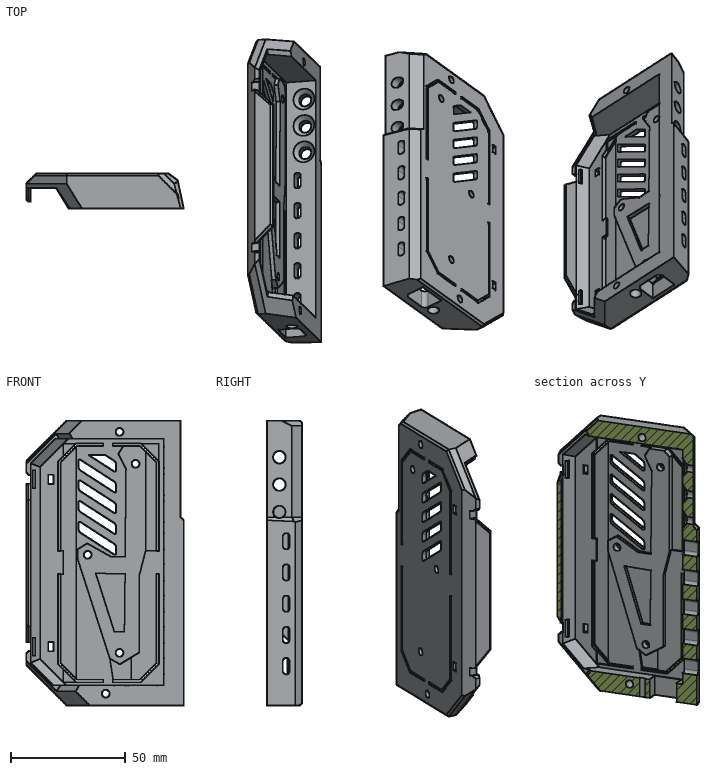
import cadquery as cq
import math

length = 125.0
depth = 15.5
front_width = 69.17
mid_z = length / 2
margin = 10.0

corner_cut = 17.8
waist_y = 11.0
left_bevel = depth - waist_y
top_corner_lean = 6.7
bottom_corner_lean = 10.1
back_bevel_y = 1.0
back_bevel_z = 0.9
flank_x, flank_y = 66.5, 12.45
back_right_x = 62.35

step_z = 82.6
step_front_x = 67.77
step_knee_x, step_knee_y = 64.9, 11.0
step_draft = 45.0
top_corner_reach = 3.4

pocket_right = 60.45
pocket_bottom = 8.8
pocket_top = 117.0
floor_y = 13.5
rim_y = 9.0
slope_y = 9.4
rim_thickness = 2.0
floor_left = 6.1
rim_corner_sum = 20.8
floor_corner_sum = 26.5

side_top = 119.1
side_bottom = 6.2
upper_end_front = (19.2, 20.3)
upper_end_rim = (13.3, 14.5)
lower_end_front = (21.8, 23.2)
lower_end_rim = (13.3, 15.0)

lip_y = 3.0
lip_half_long = 35.4
lip_half_short = 27.7
lip_bevel = 1.0

notch_offset = 36.7
notch_width = 3.7
block_width = 7.9
block_x, block_y = 4.0, 10.2
block_back_y = 12.5
notch_bevel = 1.1
window_x0, window_x1 = 9.8, 11.9
window_height = 3.9

recess_y = 14.5
recess_left = 16.3
panel_left, panel_right = 14.0, 58.2
panel_bottom, panel_top = 10.3, 114.9
panel_corner = 7.9
slot_width = 1.0
end_tab_x0, end_tab_x1 = 33.8, 38.0
side_tab_z0, side_tab_z1 = 57.65, 67.85

deck_left = 22.0
deck_right = 52.4
plate_y = 11.7
groove_right = 46.0
groove_top = 21.0
groove_bottom = (38.3, panel_bottom)

plate_left_side = [
    (43.3, panel_top), (40.4, 110.4), (43.8, 103.8), (43.4, 65.2), (37.3, 65.2),
    (26.8, 71.1), (22.7, 68.6), (22.7, 63.9),
]
plate_lower_left = (36.7, 20.6)
plate_tip = (41.1, 18.1)
plate_right_side = [(49.5, 23.2), (49.5, 56.6)]
plate_opening = [(30.5, 58.0), (43.4, 57.7), (43.1, 32.3), (38.7, 32.3)]

grille_left, grille_right = 23.0, 39.4
grille_top = 109.8
grille_count = 5
grille_pitch = 9.1
grille_first_z = 117.35
grille_opening = 4.6
grille_slope = 0.645
grille_drop = grille_slope * (grille_right - grille_left)
grille_round_large, grille_round_small = 2.0, 0.5

screw_diameter = 3.3
screw_places = [(40.95, 120.0), (48.0, 106.0), (27.0, 66.1), (40.95, 23.1), (34.9, 5.2)]
jack_diameter = 5.4
jack_sink_diameter = 9.5
jack_y = 5.5
jack_first_z = 84.9
jack_pitch = 12.0
jack_count = 3
vent_y = 8.5
vent_width = 3.0
vent_length = 7.1
vent_first_z = 17.25
vent_pitch = 13.7
vent_count = 5
cable_diameter = 5.0
cable_x, cable_y = 41.2, 5.6
port_x0, port_x1 = 44.7, 57.6
port_front, port_back = 3.2, 12.9
port_round = 2.0


def prism_y(points, y0, y1):
    """Prism of an X-Z outline between two Y levels."""
    return cq.Workplane("XZ", origin=(0, y0, 0)).polyline(points).close().extrude(y0 - y1)


def loft_y(points0, y0, points1, y1):
    """Ruled solid between two X-Z outlines at two Y levels."""
    wires = [
        cq.Wire.makePolygon([cq.Vector(x, y, z) for x, z in points], close=True)
        for points, y in ((points0, y0), (points1, y1))
    ]
    return cq.Workplane(cq.Solid.makeLoft(wires, True))


def block(x0, x1, y0, y1, z0, z1):
    return cq.Workplane("XY").box(x1 - x0, y1 - y0, z1 - z0, centered=False).translate((x0, y0, z0))


def body_outline(top_cut, bottom_cut, inset_z=0.0):
    """X-Z outline of the shell with its two left corners cut at 45 degrees."""
    right = front_width + margin
    low, high = inset_z, length - inset_z
    return [
        (0, bottom_cut),
        (bottom_cut - low, low),
        (right, low),
        (right, high),
        (top_cut - inset_z, high),
        (0, length - top_cut),
    ]


def octagon(inset):
    """Outline of the floor panel, moved inwards by the inset."""
    x0, x1 = panel_left + inset, panel_right - inset
    z0, z1 = panel_bottom + inset, panel_top - inset
    cut = panel_corner - inset * (2 - math.sqrt(2))
    return [
        (x0 + cut, z0), (x1 - cut, z0), (x1, z0 + cut), (x1, z1 - cut),
        (x1 - cut, z1), (x0 + cut, z1), (x0, z1 - cut), (x0, z0 + cut),
    ]


def side_profile():
    """Prism along Z that gives the left bevel and the sloping right side."""
    points = [
        (0, 0), (front_width, 0), (flank_x, flank_y),
        (back_right_x, depth), (left_bevel, depth), (0, waist_y),
    ]
    return cq.Workplane("XY").polyline(points).close().extrude(length)


def stepped_right_side():
    """Everything allowed by the step: narrow above it, flaring out below it."""
    slope = (step_front_x - step_knee_x) / step_knee_y
    points = [
        (-margin, -margin),
        (step_front_x + slope * margin, -margin),
        (step_knee_x, step_knee_y),
        (step_knee_x - depth, step_knee_y + depth),
        (-margin, step_knee_y + depth),
    ]
    plan = cq.Workplane("XY", origin=(0, 0, step_z))
    upper = plan.polyline(points).close().extrude(length - step_z)
    flare = plan.polyline(points).close().extrude(-step_z, taper=-step_draft)
    return upper.union(flare)


def shell():
    waist = body_outline(corner_cut, corner_cut)
    front = body_outline(corner_cut + top_corner_lean, corner_cut + bottom_corner_lean)
    back_cut = corner_cut + back_bevel_z * math.sqrt(2)
    back = body_outline(back_cut, back_cut, back_bevel_z)
    bevel_start = depth - back_bevel_y
    body = loft_y(front, 0, waist, waist_y)
    body = body.union(prism_y(waist, waist_y, bevel_start))
    body = body.union(loft_y(waist, bevel_start, back, depth))
    return body.intersect(side_profile()).intersect(stepped_right_side()).cut(top_right_bevel())


def top_right_bevel():
    """Wedge that bevels the top end along the sloping back right edge."""
    edge_sum = step_knee_x + step_knee_y
    drop = top_corner_reach / math.sqrt(2)

    def outline(corner_sum):
        return [
            (corner_sum + margin, -margin),
            (corner_sum + margin, depth + margin),
            (corner_sum - depth - margin, depth + margin),
        ]

    wires = [
        cq.Wire.makePolygon([cq.Vector(x, y, z) for x, y in outline(corner_sum)], close=True)
        for corner_sum, z in ((edge_sum - top_corner_reach, length), (edge_sum, length - drop))
    ]
    return cq.Workplane(cq.Solid.makeLoft(wires, True))


def front_opening():
    """Space in front of the rim, open to the left between leaning end faces."""
    def outline(upper_end, lower_end):
        return [
            (-margin, side_top), (upper_end[0], side_top), (upper_end[1], pocket_top),
            (pocket_right, pocket_top), (pocket_right, pocket_bottom),
            (lower_end[1], pocket_bottom), (lower_end[0], side_bottom), (-margin, side_bottom),
        ]

    front = outline(upper_end_front, lower_end_front)
    rim = outline(upper_end_rim, lower_end_rim)
    return loft_y(front, 0, rim, rim_y)


def pocket_outline(left, corner_sum):
    """Pocket outline whose left corners lie where X plus the distance to the end is corner_sum."""
    return [
        (left, corner_sum - left),
        (corner_sum - pocket_bottom, pocket_bottom),
        (pocket_right, pocket_bottom),
        (pocket_right, pocket_top),
        (corner_sum - (length - pocket_top), pocket_top),
        (left, length - corner_sum + left),
    ]


def pocket():
    rim = pocket_outline(rim_thickness, rim_corner_sum)
    floor = pocket_outline(floor_left, floor_corner_sum)
    deep = prism_y(rim, rim_y, slope_y).union(loft_y(rim, slope_y, floor, floor_y))
    return front_opening().union(deep)


def lip():
    points = [
        (waist_y, mid_z - lip_half_long), (lip_y, mid_z - lip_half_short),
        (lip_y, mid_z + lip_half_short), (waist_y, mid_z + lip_half_long),
    ]
    body = cq.Workplane("YZ").polyline(points).close().extrude(rim_thickness)
    free_edges = body.faces("<X").edges("not >Y")
    return body.newObject(free_edges.vals()).chamfer(lip_bevel)


def mirrored_in_z(offset):
    return (mid_z - offset, mid_z + offset)


def add_snap_blocks(body):
    for z in mirrored_in_z(notch_offset):
        body = body.union(
            block(rim_thickness, block_x, block_y, block_back_y, z - block_width / 2, z + block_width / 2)
        )
    return body


def cut_rim_for_lip(body):
    """Clears the rim between the two notches, down to where the lip starts."""
    reach = notch_offset + notch_width / 2
    return body.cut(block(0, rim_thickness, 0, waist_y, mid_z - reach, mid_z + reach))


def notch(z, outward):
    """Gap through the rim; its end away from the lip is bevelled on the outside."""
    half = notch_width / 2
    gap = block(0, rim_thickness, 0, depth, z - half, z + half)
    end = z + outward * half
    bevel = [(0, end), (notch_bevel, end), (0, end + outward * notch_bevel)]
    return gap.union(prism_y(bevel, 0, depth))


def cut_notches(body):
    bottom_z, top_z = mirrored_in_z(notch_offset)
    return body.cut(notch(bottom_z, -1)).cut(notch(top_z, 1))


def cut_windows(body):
    half = window_height / 2
    for z in mirrored_in_z(notch_offset):
        body = body.cut(block(window_x0, window_x1, 0, depth, z - half, z + half))
    return body


def end_tabs(y0, y1):
    """Bridges at the bottom and top ends of the panel."""
    bottom = block(end_tab_x0, end_tab_x1, y0, y1, 0, panel_bottom + slot_width)
    top = block(end_tab_x0, end_tab_x1, y0, y1, panel_top - slot_width, length)
    return bottom.union(top)


def tabs(y0, y1):
    """All bridges that tie the panel to the surrounding floor."""
    return end_tabs(y0, y1).union(block(0, front_width, y0, y1, side_tab_z0, side_tab_z1))


def panel_body(y0, y1):
    return prism_y(octagon(slot_width), y0, y1)


def deck():
    """Middle part of the panel that stays level with the floor."""
    points = [
        (deck_left, panel_bottom), groove_bottom, plate_lower_left, plate_tip,
        (groove_right, groove_top), (groove_right, panel_bottom),
        (panel_right, panel_bottom), (panel_right, side_tab_z1), (deck_right, side_tab_z1),
        (deck_right, panel_top), (deck_left, panel_top),
    ]
    return prism_y(points, floor_y, depth).intersect(panel_body(floor_y, depth))


def plate():
    """Raised bracket shaped plate on the panel, with a wedge shaped opening."""
    points = plate_left_side + [plate_lower_left, plate_tip] + plate_right_side
    points += [(deck_right, side_tab_z1), (deck_right, panel_top)]
    solid = prism_y(points, plate_y, floor_y).cut(prism_y(plate_opening, plate_y, floor_y))
    return solid.intersect(panel_body(plate_y, floor_y))


def shape_floor(body):
    """Sinks the recess, cuts the slot around the panel and adds the plate."""
    recess = block(recess_left, panel_right, floor_y, recess_y, panel_bottom, panel_top)
    recess = recess.union(prism_y(octagon(0), floor_y, recess_y))
    flush_corner = block(groove_right, panel_right, floor_y, recess_y, 0, side_tab_z1)
    left_tab = block(0, recess_left, floor_y, recess_y, side_tab_z0, side_tab_z1)
    slot = prism_y(octagon(0), floor_y, depth).cut(panel_body(floor_y, depth)).cut(tabs(floor_y, depth))
    for kept in (deck(), flush_corner, left_tab, end_tabs(floor_y, recess_y)):
        recess = recess.cut(kept)
    return body.cut(recess).cut(slot).union(plate())


def grille_opening_at(z_left):
    points = [
        (grille_left, z_left), (grille_right, z_left - grille_drop),
        (grille_right, z_left - grille_drop - grille_opening), (grille_left, z_left - grille_opening),
    ]
    opening = prism_y(points, floor_y, depth)
    opening = opening.edges("|Y").edges(">X").edges(">Z").fillet(grille_round_large)
    opening = opening.edges("|Y").edges("<X").edges("<Z").fillet(grille_round_large)
    opening = opening.edges("|Y").edges("<Z").fillet(grille_round_small)
    return opening.edges("|Y").edges(">Z").fillet(grille_round_small)


def cut_grille(body):
    cover = block(0, front_width, 0, depth, 0, grille_top)
    for index in range(grille_count):
        opening = grille_opening_at(grille_first_z - index * grille_pitch)
        body = body.cut(opening.intersect(cover))
    return body


def cut_screw_holes(body):
    for x, z in screw_places:
        hole = cq.Workplane("XZ", origin=(x, 0, z)).circle(screw_diameter / 2).extrude(-depth)
        body = body.cut(hole)
    return body


def cut_right_wall(body):
    sink_depth = (jack_sink_diameter - jack_diameter) / 2
    for index in range(jack_count):
        center = (pocket_right, jack_y, jack_first_z + index * jack_pitch)
        hole = cq.Workplane("YZ", origin=center).circle(jack_diameter / 2).extrude(margin)
        sink = cq.Solid.makeCone(
            jack_sink_diameter / 2, jack_diameter / 2, sink_depth, cq.Vector(*center), cq.Vector(1, 0, 0)
        )
        body = body.cut(hole).cut(cq.Workplane(sink))
    for index in range(vent_count):
        center = (pocket_right, vent_y, vent_first_z + index * vent_pitch)
        vent = cq.Workplane("YZ", origin=center).slot2D(vent_length, vent_width, 90).extrude(margin)
        body = body.cut(vent)
    return body


def cut_bottom_wall(body):
    hole = cq.Workplane("XY", origin=(cable_x, cable_y, 0)).circle(cable_diameter / 2).extrude(pocket_bottom)
    port = block(port_x0, port_x1, port_front, port_back, 0, pocket_bottom)
    port = port.edges("|Z and <Y").fillet(port_round)
    return body.cut(hole).cut(port)


result = shell().cut(pocket())
result = cut_rim_for_lip(result).union(lip())
result = add_snap_blocks(result)
result = cut_notches(result)
result = cut_windows(result)
result = shape_floor(result)
result = cut_grille(result)
result = cut_screw_holes(result)
result = cut_right_wall(result)
result = cut_bottom_wall(result)